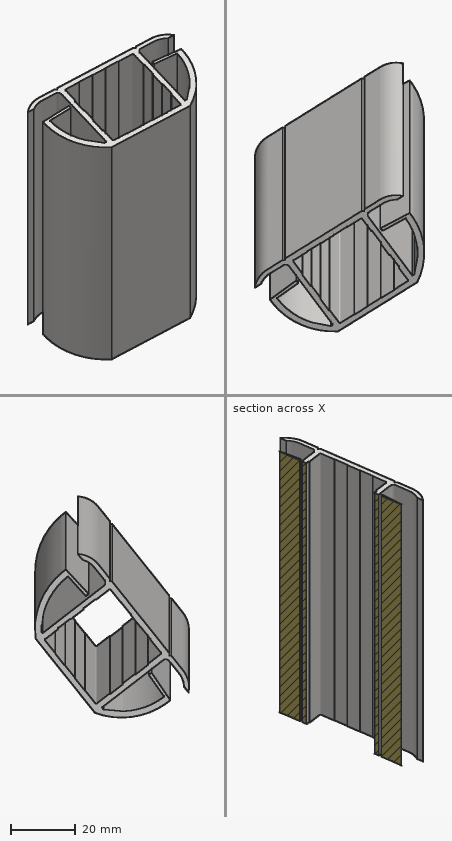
import cadquery as cq
import math

length = 100.0
half_width = 15.0
half_depth = 15.0
wall = 2.0
bore_half = half_width - wall
bore_corner_radius = 0.3

flute_width = 5.0
y_wall_flute_depth = 0.25
x_wall_flute_depth = 0.1
flute_offset = 5.0

lip_wall = 1.6
lip_radius = 9.0
lip_tip_x = -12.0
lip_tip_y = 28.0
lip_root_radius = 1.3

chamber_top_y = 26.4
chamber_flat_end_x = -4.2
chamber_mid = (7.5, 22.7)
chamber_inner_start = (-5.2, 24.3)
chamber_inner_mid = (1.6, 23.2)
chamber_inner_arc_end = (7.8, 20.0)
chamber_inner_corner = (12.2, 15.8)
leg_top_x = -6.0
leg_thickness = 1.1
leg_end_y = 15.9
leg_end_x = -6.8

groove_half_width = 0.5
groove_depth = 0.5


def arc_point(center_x, center_y, radius, angle):
    return center_x + radius * math.cos(angle), center_y + radius * math.sin(angle)


def box_tube():
    """Rectangular tube with fluted bore."""
    bore = (
        cq.Workplane("XY")
        .rect(2 * bore_half, 2 * bore_half)
        .extrude(length)
        .edges("|Z")
        .fillet(bore_corner_radius)
    )
    y_wall_flutes = (
        cq.Workplane("XY")
        .pushPoints([(-flute_offset, 0), (flute_offset, 0)])
        .rect(flute_width, 2 * (bore_half + y_wall_flute_depth))
        .extrude(length)
    )
    x_wall_flutes = (
        cq.Workplane("XY")
        .pushPoints([(0, -flute_offset), (0, flute_offset)])
        .rect(2 * (bore_half + x_wall_flute_depth), flute_width)
        .extrude(length)
    )
    tube = cq.Workplane("XY").rect(2 * half_width, 2 * half_depth).extrude(length)
    return tube.cut(bore).cut(y_wall_flutes).cut(x_wall_flutes)


def lip():
    """Lip on the +Y side, its two arcs sharing one center."""
    center_x = -half_width + lip_radius
    center_y = lip_tip_y - math.sqrt(lip_radius**2 - (lip_tip_x - center_x) ** 2)
    inner_x = -half_width + lip_wall
    inner_radius = lip_radius - lip_wall
    outer_end_angle = math.acos((lip_tip_x - center_x) / lip_radius)
    inner_end_angle = math.acos((lip_tip_x - center_x) / inner_radius)
    outer_mid = arc_point(center_x, center_y, lip_radius, (math.pi + outer_end_angle) / 2)
    inner_mid = arc_point(center_x, center_y, inner_radius, (math.pi + inner_end_angle) / 2)
    inner_tip = arc_point(center_x, center_y, inner_radius, inner_end_angle)
    root_center = (inner_x + lip_root_radius, half_depth + lip_root_radius)
    root_mid = arc_point(*root_center, lip_root_radius, math.radians(225))
    return (
        cq.Workplane("XY")
        .moveTo(-half_width, bore_half + wall / 2)
        .lineTo(-half_width, center_y)
        .threePointArc(outer_mid, (lip_tip_x, lip_tip_y))
        .lineTo(*inner_tip)
        .threePointArc(inner_mid, (inner_x, center_y))
        .lineTo(inner_x, root_center[1])
        .threePointArc(root_mid, (root_center[0], half_depth))
        .lineTo(root_center[0], bore_half + wall / 2)
        .close()
        .extrude(length)
    )


def chamber():
    """Curved wall on the +Y side, ending in a leaning leg that stops short of the tube."""
    base_y = bore_half + wall / 2
    return (
        cq.Workplane("XY")
        .moveTo(half_width, base_y)
        .lineTo(half_width, half_depth)
        .threePointArc(chamber_mid, (chamber_flat_end_x, chamber_top_y))
        .lineTo(leg_top_x, chamber_top_y)
        .lineTo(leg_end_x, leg_end_y)
        .lineTo(leg_end_x + leg_thickness, leg_end_y)
        .lineTo(*chamber_inner_start)
        .threePointArc(chamber_inner_mid, chamber_inner_arc_end)
        .lineTo(*chamber_inner_corner)
        .lineTo(chamber_inner_corner[0], base_y)
        .close()
        .extrude(length)
    )


def corner_groove():
    """Cutter for the V groove at the +Y corner of the -X face."""
    return (
        cq.Workplane("XY")
        .moveTo(-half_width, half_depth - groove_half_width)
        .lineTo(-half_width + groove_depth, half_depth)
        .lineTo(-half_width, half_depth + groove_half_width)
        .close()
        .extrude(length)
    )


side = lip().union(chamber())
result = box_tube().union(side).union(side.mirror("XZ"))
result = result.cut(corner_groove()).cut(corner_groove().mirror("XZ"))